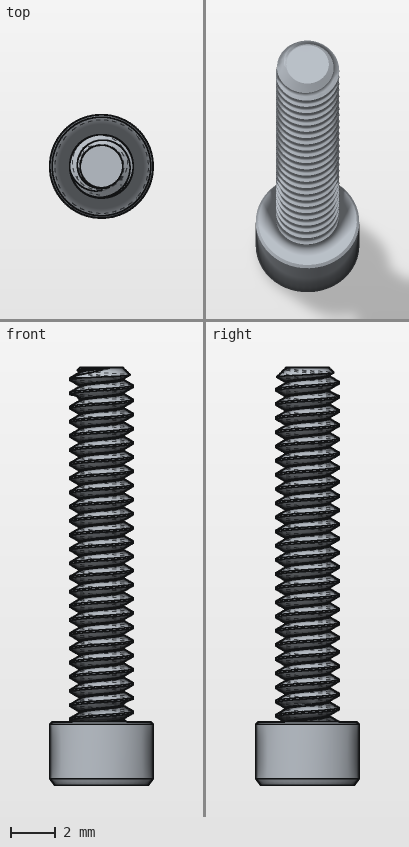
import cadquery as cq
import math

total_length = 18.72

head_diameter = 4.65
head_height = 2.85
bearing_chamfer = 0.11
end_chamfer_height = 0.3
end_chamfer_width = 0.22

thread_diameter = 2.85
turns = 25
root_radius = 1.0
flank_half_angle = 30.0
first_crest_height = 0.43
tip_diameter = 1.91
envelope_clearance = 0.1
ridge_sink = 0.04
lead_turns = 2
ridge_turns = turns + 3
overrun_turns = 3

head_radius = head_diameter / 2
crest_radius = thread_diameter / 2
tip_radius = tip_diameter / 2
thread_length = total_length - head_height
pitch = thread_length / turns
crest_flat = pitch / 8
core_overrun = overrun_turns * pitch
tip_chamfer = crest_radius - tip_radius


def make_head():
    """Cylinder turned about Z, chamfered at its free end and at its bearing face."""
    return (
        cq.Workplane("XZ")
        .moveTo(0, 0)
        .lineTo(head_radius - end_chamfer_width, 0)
        .lineTo(head_radius, end_chamfer_height)
        .lineTo(head_radius, head_height - bearing_chamfer)
        .lineTo(head_radius - bearing_chamfer, head_height)
        .lineTo(0, head_height)
        .close()
        .revolve(360, (0, 0, 0), (0, 1, 0))
    )


def make_thread():
    """Core with a right-handed ridge, both running past the two ends of the shank."""
    start_z = head_height + first_crest_height - lead_turns * pitch
    foot_radius = root_radius - ridge_sink
    half_crest = crest_flat / 2
    half_foot = half_crest + (crest_radius - foot_radius) * math.tan(math.radians(flank_half_angle))
    start = cq.Vector(0, 0, start_z)
    helix = cq.Wire.makeHelix(pitch, ridge_turns * pitch, foot_radius, center=start)
    ridge = (
        cq.Workplane("XZ")
        .moveTo(foot_radius, start_z - half_foot)
        .lineTo(crest_radius, start_z - half_crest)
        .lineTo(crest_radius, start_z + half_crest)
        .lineTo(foot_radius, start_z + half_foot)
        .close()
        .sweep(cq.Workplane(obj=helix), isFrenet=True)
    )
    core = (
        cq.Workplane("XY")
        .workplane(offset=head_height - core_overrun)
        .circle(root_radius)
        .extrude(thread_length + 2 * core_overrun)
    )
    return core.union(ridge)


def make_envelope():
    """Cylinder just wider than the thread, with the cone that trims the tip."""
    return (
        cq.Workplane("XY")
        .workplane(offset=head_height)
        .circle(crest_radius + envelope_clearance)
        .extrude(thread_length)
        .faces(">Z")
        .chamfer(tip_chamfer + envelope_clearance)
    )


result = make_head().union(make_thread().intersect(make_envelope()))